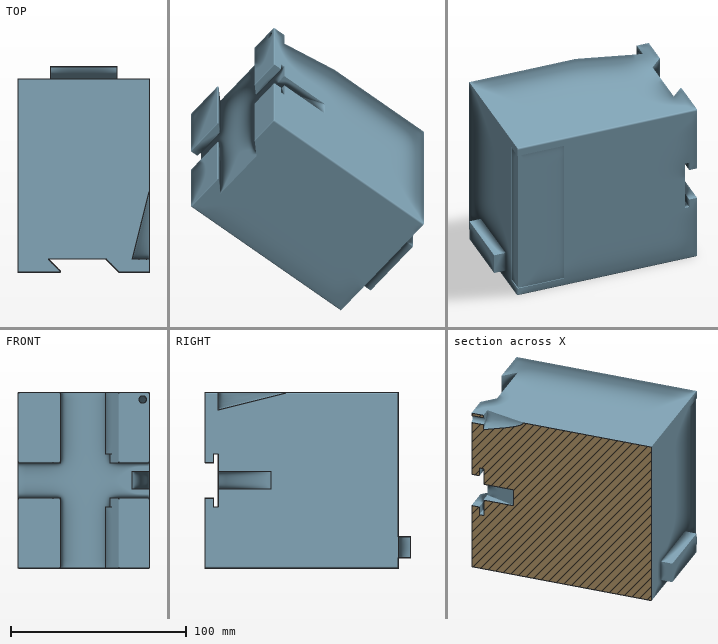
import cadquery as cq

WIDTH = 75.0
DEPTH = 110.0
HEIGHT = 100.0
LONG_EDGE_RADIUS = 1.0
FOOT_EDGE_RADIUS = 0.5

CHANNEL_DEPTH = 7.5
CHANNEL_FLOOR_LEFT = 17.5
CHANNEL_FLOOR_RIGHT = 50.0
FLANK_SHIFT = CHANNEL_DEPTH

SLOT_HEIGHT = 20.0
SLOT_UNDERCUT_HEIGHT = 30.0
SLOT_NECK_DEPTH = 5.0

ACCESS_HOLE_DIAMETER = 4.2
ACCESS_HOLE_INSET = 4.0
HOLLOW_RADIUS = 10.0
HOLLOW_LENGTH = 40.0

NOTCH_SIZE = 10.0
NOTCH_LENGTH = 30.0

LABEL_RECESS = 0.5
LABEL_MARGIN = 5.0
LABEL_SIDE_LENGTH = 28.5
LABEL_BACK_LENGTH = 10.0

TAB_LEFT = 18.5
TAB_WIDTH = 38.0
TAB_BOTTOM = 6.0
TAB_HEIGHT = 12.0
TAB_LENGTH = 7.0


def block(x, y, z, width, depth, height):
    """Box with its lowest corner at (x, y, z)."""
    return cq.Workplane("XY").box(width, depth, height, centered=False).translate((x, y, z))


def crosswise_slot(start, depth, height):
    """Full-width box cut centred on the height."""
    return block(0, start, (HEIGHT - height) / 2, WIDTH, depth, height)


def housing():
    """Block with rounded long edges, rail channel, T-slot and rounded feet."""
    body = block(0, 0, 0, WIDTH, DEPTH, HEIGHT).edges("|Y").fillet(LONG_EDGE_RADIUS)

    channel = (
        cq.Workplane("XY")
        .moveTo(CHANNEL_FLOOR_LEFT, CHANNEL_DEPTH)
        .lineTo(CHANNEL_FLOOR_RIGHT, CHANNEL_DEPTH)
        .lineTo(CHANNEL_FLOOR_RIGHT + FLANK_SHIFT, 0)
        .lineTo(CHANNEL_FLOOR_LEFT + FLANK_SHIFT, 0)
        .close()
        .extrude(HEIGHT)
    )
    body = body.cut(channel)
    body = body.cut(crosswise_slot(0, CHANNEL_DEPTH, SLOT_HEIGHT))
    undercut_depth = CHANNEL_DEPTH - SLOT_NECK_DEPTH
    body = body.cut(crosswise_slot(SLOT_NECK_DEPTH, undercut_depth, SLOT_UNDERCUT_HEIGHT))
    return body.faces("<Y").edges().fillet(FOOT_EDGE_RADIUS)


def access_hollow():
    """Cone along the top right edge, widest behind the foot."""
    cone = cq.Solid.makeCone(
        HOLLOW_RADIUS,
        0,
        HOLLOW_LENGTH,
        pnt=cq.Vector(WIDTH, CHANNEL_DEPTH, HEIGHT),
        dir=cq.Vector(0, 1, 0),
    )
    return cq.Workplane(cone)


def access_hole():
    """Round hole through the upper right foot into the hollow."""
    hole = cq.Solid.makeCylinder(
        ACCESS_HOLE_DIAMETER / 2,
        CHANNEL_DEPTH,
        pnt=cq.Vector(WIDTH - ACCESS_HOLE_INSET, 0, HEIGHT - ACCESS_HOLE_INSET),
        dir=cq.Vector(0, 1, 0),
    )
    return cq.Workplane(hole)


def wedge_notch():
    """Triangular prism that runs out at the right side."""
    return (
        cq.Workplane("XY", origin=(0, 0, (HEIGHT - NOTCH_SIZE) / 2))
        .moveTo(WIDTH - NOTCH_SIZE, CHANNEL_DEPTH)
        .lineTo(WIDTH, CHANNEL_DEPTH)
        .lineTo(WIDTH, CHANNEL_DEPTH + NOTCH_LENGTH)
        .close()
        .extrude(NOTCH_SIZE)
    )


def label_recess():
    """L-shaped layer over the left side with a short return onto the back."""
    height = HEIGHT - 2 * LABEL_MARGIN
    side = block(
        0, DEPTH - LABEL_SIDE_LENGTH, LABEL_MARGIN,
        LABEL_RECESS, LABEL_SIDE_LENGTH, height,
    )
    back = block(
        0, DEPTH - LABEL_RECESS, LABEL_MARGIN,
        LABEL_BACK_LENGTH, LABEL_RECESS, height,
    )
    return side.union(back)


def back_tab():
    """Rectangular tab standing on the back."""
    return block(TAB_LEFT, DEPTH, TAB_BOTTOM, TAB_WIDTH, TAB_LENGTH, TAB_HEIGHT)


result = (
    housing()
    .cut(access_hollow())
    .cut(access_hole())
    .cut(wedge_notch())
    .cut(label_recess())
    .union(back_tab())
)